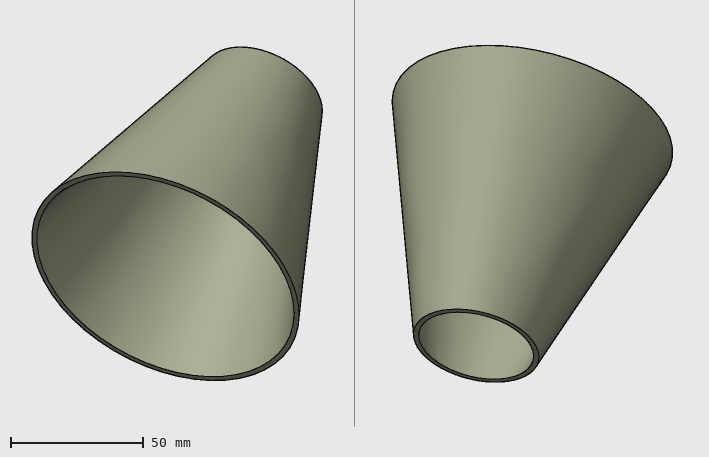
import cadquery as cq

LARGE_DIAMETER = 108.0
SMALL_DIAMETER = 48.3
LENGTH = 100.0
WALL = 2.0

large_radius = LARGE_DIAMETER / 2
small_radius = SMALL_DIAMETER / 2

wall_section = (
    cq.Workplane("XY")
    .moveTo(large_radius - WALL, 0)
    .lineTo(large_radius, 0)
    .lineTo(small_radius, LENGTH)
    .lineTo(small_radius - WALL, LENGTH)
    .close()
)

result = wall_section.revolve(360, (0, 0, 0), (0, 1, 0))